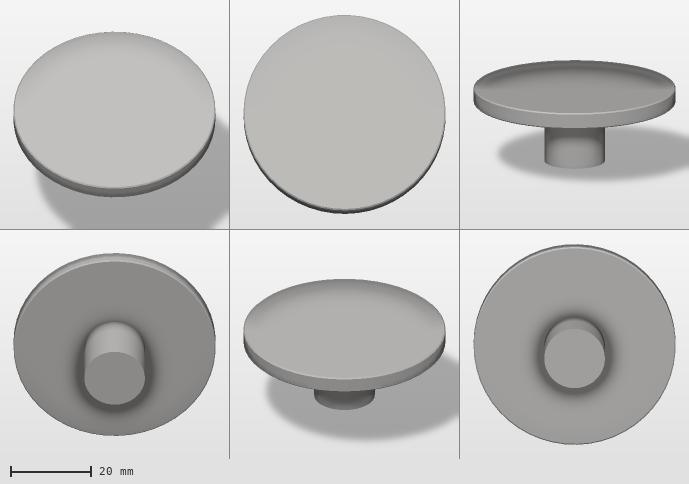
import cadquery as cq

disc_diameter = 50.0
disc_thickness = 4.0
disc_chamfer = 0.3
stem_diameter = 15.0
stem_length = 15.0

stem = cq.Workplane("XY").circle(stem_diameter / 2).extrude(stem_length)

disc = (
    cq.Workplane("XY")
    .workplane(offset=stem_length)
    .circle(disc_diameter / 2)
    .extrude(disc_thickness)
    .edges("%CIRCLE")
    .chamfer(disc_chamfer)
)

result = stem.union(disc)